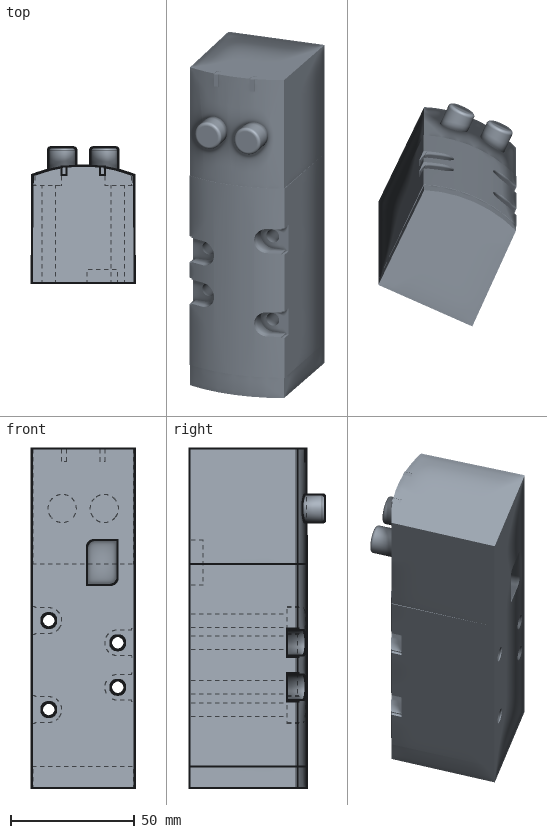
import cadquery as cq

height = 138.0
base_width = 42.0
crown_y = 47.9
shoulder_y = 43.0
eave_y = 43.9

bottom_cap_height = 8.8
upper_cap_z = 91.0
housing_shoulder_width = 41.5
cap_shoulder_width = 41.0
cap_crown_drop = 0.1

button_diameter = 11.5
button_tip_y = 55.2
button_root_y = 41.4
button_fillet = 1.2
button_spacing = 17.1
button_z = 113.6

hole_diameter = 5.5
hole_chamfer = 0.3
hole_spacing_x = 28.0
hole_x = hole_spacing_x / 2
hole_mid_z = 50.0
left_hole_offset = 18.1
right_hole_offset = left_hole_offset / 2
recess_diameter = 10.5
recess_mouth_width = 11.5
recess_mouth_depth = 1.4
recess_floor_y = 39.7

window_left = 1.5
window_width = 12.4
window_bottom = 82.5
window_height = 18.2
window_depth = 5.5
window_corner_radius = 3.0

tab_width = 2.0
tab_spacing = 15.6
tab_floor_y = 43.9
tab_top_y = 47.5
tab_length = 5.4
tab_recess = 0.1


def housing(bottom_z, top_z, shoulder_width, section_crown_y):
    """One body section: drafted sides, short upright eaves and an arched back."""
    half_base = base_width / 2
    half_shoulder = shoulder_width / 2
    outline = (
        cq.Workplane("XY", origin=(0, 0, bottom_z))
        .moveTo(-half_base, 0)
        .lineTo(half_base, 0)
        .lineTo(half_shoulder, shoulder_y)
        .lineTo(half_shoulder, eave_y)
        .threePointArc((0, section_crown_y), (-half_shoulder, eave_y))
        .lineTo(-half_shoulder, shoulder_y)
        .close()
    )
    return outline.extrude(top_z - bottom_z)


def y_cylinder(x, z, diameter, start_y, end_y):
    """Cylinder along Y between two Y positions."""
    centre = cq.Vector(x, start_y, z)
    return cq.Workplane(cq.Solid.makeCylinder(diameter / 2, end_y - start_y, centre, cq.Vector(0, 1, 0)))


def mounting_hole(x, z):
    """Through hole with a lightly chamfered rim on the front face."""
    rim_radius = hole_diameter / 2 + hole_chamfer
    rim_centre = cq.Vector(x, 0, z)
    rim = cq.Solid.makeCone(rim_radius, hole_diameter / 2, hole_chamfer, rim_centre, cq.Vector(0, 1, 0))
    return y_cylinder(x, z, hole_diameter, 0, crown_y).union(cq.Workplane(rim))


def screw_recess(side, z):
    """Round-ended recess around a hole, stepped wider where it meets the side face."""
    half_bore = recess_diameter / 2
    half_mouth = recess_mouth_width / 2
    side_x = side * base_width / 2
    step_x = side_x - side * recess_mouth_depth
    axis_x = side * hole_x
    outline = (
        cq.Workplane("XZ", origin=(0, recess_floor_y, 0))
        .moveTo(axis_x, z - half_bore)
        .lineTo(step_x, z - half_bore)
        .lineTo(step_x, z - half_mouth)
        .lineTo(side_x, z - half_mouth)
        .lineTo(side_x, z + half_mouth)
        .lineTo(step_x, z + half_mouth)
        .lineTo(step_x, z + half_bore)
        .lineTo(axis_x, z + half_bore)
        .threePointArc((axis_x - side * half_bore, z), (axis_x, z - half_bore))
        .close()
    )
    return outline.extrude(recess_floor_y - crown_y)


def window():
    """Pocket sunk into the front face."""
    window_right = window_left + window_width
    window_top = window_bottom + window_height
    pocket = cq.Workplane("XY").box(window_width, window_depth, window_height, centered=False)
    pocket = pocket.translate((window_left, 0, window_bottom))
    rounded_corners = ((window_left, window_top), (window_right, window_bottom))
    for x, z in rounded_corners:
        corner = cq.selectors.NearestToPointSelector((x, window_depth / 2, z))
        pocket = pocket.edges("|Y").edges(corner).fillet(window_corner_radius)
    return pocket


def tab_box(x, bottom_z, top_z):
    """Block with the cross-section of a tab."""
    block = cq.Workplane("XY").box(
        tab_width, tab_top_y - tab_floor_y, top_z - bottom_z, centered=(True, False, False)
    )
    return block.translate((x, tab_floor_y, bottom_z))


body = housing(0, bottom_cap_height, cap_shoulder_width, crown_y - cap_crown_drop)
body = body.union(housing(bottom_cap_height, upper_cap_z, housing_shoulder_width, crown_y))
body = body.union(housing(upper_cap_z, height, cap_shoulder_width, crown_y - cap_crown_drop))

for x in (-button_spacing / 2, button_spacing / 2):
    button = y_cylinder(x, button_z, button_diameter, button_root_y, button_tip_y)
    body = body.union(button.faces(">Y").edges().fillet(button_fillet))

for x in (-tab_spacing / 2, tab_spacing / 2):
    body = body.union(tab_box(x, height - tab_length, height))
    body = body.cut(tab_box(x, height - tab_recess, height))

for side, offset in ((-1, left_hole_offset), (1, right_hole_offset)):
    for z in (hole_mid_z - offset, hole_mid_z + offset):
        body = body.cut(screw_recess(side, z))
        body = body.cut(mounting_hole(side * hole_x, z))

result = body.cut(window())